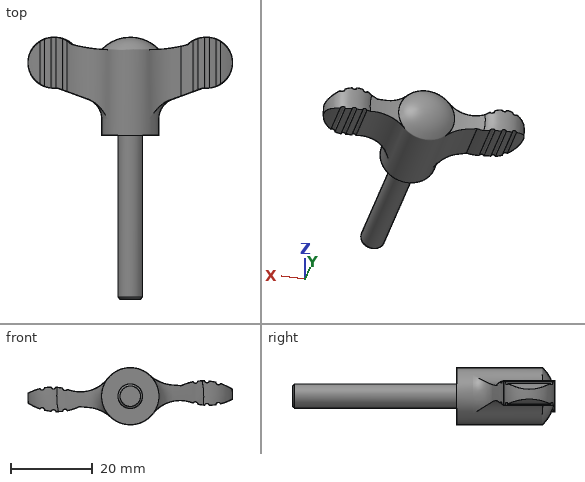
import cadquery as cq
import math

hub_radius = 7.0
hub_length = 21.0
dome_height = 3.0
rim_fillet = 0.3

pin_radius = 3.0
pin_length = 40.0
pin_chamfer = 0.5

wing_root_radius = 3.5
span_radius = 25.0
lobe_radius = 6.25
lobe_axis_distance = span_radius - lobe_radius
lobe_center_y = hub_length + dome_height - lobe_radius
lobe_underside_distance = 17.95
underside_angle = math.radians(20)
underside_fillet = 5.0
lobe_shoulder_distance = 14.4
top_edge_sag = 0.2

high_contact_angle = math.radians(47.5)
high_neck_radius = 9.2
high_neck_end_x = 9.94
high_crest = (17.9, 3.8)
high_start = (12.44, 2.6)
high_tip_z = 1.66
low_contact_angle = math.radians(-38.2)
low_neck_radius = 8.5
low_crest = (18.9, -2.25)
low_start_x = 14.76
low_tip_z = -0.7

groove_radius = 0.6
groove_depth = 0.45
groove_positions = (15.9, 18.73, 21.53)


def polar(radius, angle):
    """Plane coordinates of a point at a radius and an angle."""
    return (radius * math.cos(angle), radius * math.sin(angle))


def circle_through(a, b, c):
    """Center and radius of the circle through three points."""
    denominator = 2 * (a[0] * (b[1] - c[1]) + b[0] * (c[1] - a[1]) + c[0] * (a[1] - b[1]))
    sq_a, sq_b, sq_c = (p[0] ** 2 + p[1] ** 2 for p in (a, b, c))
    x = (sq_a * (b[1] - c[1]) + sq_b * (c[1] - a[1]) + sq_c * (a[1] - b[1])) / denominator
    y = (sq_a * (c[0] - b[0]) + sq_b * (a[0] - c[0]) + sq_c * (b[0] - a[0])) / denominator
    return (x, y), math.hypot(a[0] - x, a[1] - y)


def on_circle(center, radius, x, side):
    """Point of a circle at x, on its upper (+1) or lower (-1) half."""
    return (x, center[1] + side * math.sqrt(radius ** 2 - (x - center[0]) ** 2))


def dome_middle():
    """Point halfway along the dome arc, from the rim to the apex."""
    radius = (hub_radius ** 2 + dome_height ** 2) / (2 * dome_height)
    half_angle = math.asin(hub_radius / radius) / 2
    center_y = hub_length + dome_height - radius
    return (radius * math.sin(half_angle), center_y + radius * math.cos(half_angle))


def make_hub():
    """Cylinder closed by a shallow spherical dome, with a softened rim."""
    return (
        cq.Workplane("XY")
        .lineTo(hub_radius, 0)
        .lineTo(hub_radius, hub_length)
        .threePointArc(dome_middle(), (0, hub_length + dome_height))
        .close()
        .revolve(360, (0, 0, 0), (0, 1, 0))
        .edges(cq.NearestToPointSelector((0, hub_length, 0)))
        .fillet(rim_fillet)
    )


def make_pin():
    """Plain pin along -Y with a chamfered end."""
    return (
        cq.Workplane("XZ")
        .circle(pin_radius)
        .extrude(pin_length)
        .faces("<Y")
        .chamfer(pin_chamfer)
    )


def make_wing_envelope():
    """Solid of revolution whose outline is the wing seen along Z."""
    lobe_center = (lobe_axis_distance, lobe_center_y)
    lobe_low = on_circle(lobe_center, lobe_radius, lobe_underside_distance, -1)
    shoulder = on_circle(lobe_center, lobe_radius, lobe_shoulder_distance, 1)

    corner_y = lobe_low[1] - (lobe_low[0] - hub_radius) * math.tan(underside_angle)
    tangent_length = underside_fillet * math.tan((math.pi / 2 - underside_angle) / 2)
    fillet_low = (hub_radius, corner_y - tangent_length)
    fillet_high = (
        hub_radius + tangent_length * math.cos(underside_angle),
        corner_y + tangent_length * math.sin(underside_angle),
    )
    top_middle = (
        (hub_radius + shoulder[0]) / 2,
        (hub_length + shoulder[1]) / 2 - top_edge_sag,
    )
    return (
        cq.Workplane("XY")
        .moveTo(wing_root_radius, fillet_low[1])
        .lineTo(*fillet_low)
        .radiusArc(fillet_high, underside_fillet)
        .lineTo(*lobe_low)
        .threePointArc((span_radius, lobe_center_y), shoulder)
        .threePointArc(top_middle, (hub_radius, hub_length))
        .close()
        .revolve(360, (0, 0, 0), (0, 1, 0))
    )


def make_wing_profile():
    """Wing thickness in XZ, carried along Y, with the grip grooves cut."""
    high_contact = polar(hub_radius, high_contact_angle)
    low_contact = polar(hub_radius, low_contact_angle)
    high_neck_center = polar(hub_radius + high_neck_radius, high_contact_angle)
    low_neck_center = polar(hub_radius + low_neck_radius, low_contact_angle)
    high_neck_end = on_circle(high_neck_center, high_neck_radius, high_neck_end_x, -1)
    low_start = on_circle(low_neck_center, low_neck_radius, low_start_x, 1)
    high_neck_middle = on_circle(
        high_neck_center, high_neck_radius, (high_contact[0] + high_neck_end_x) / 2, -1
    )
    low_neck_middle = on_circle(
        low_neck_center, low_neck_radius, (low_contact[0] + low_start_x) / 2, 1
    )
    high_tip = (span_radius, high_tip_z)
    low_tip = (span_radius, low_tip_z)
    length = hub_length + dome_height
    plane = cq.Workplane("XZ", origin=(0, length, 0))
    profile = (
        plane.lineTo(*high_contact)
        .threePointArc(high_neck_middle, high_neck_end)
        .lineTo(*high_start)
        .threePointArc(high_crest, high_tip)
        .lineTo(*low_tip)
        .threePointArc(low_crest, low_start)
        .threePointArc(low_neck_middle, low_contact)
        .close()
        .extrude(length)
    )
    high_circle = circle_through(high_start, high_crest, high_tip)
    low_circle = circle_through(low_start, low_crest, low_tip)
    axis_offset = groove_radius - groove_depth
    for x in groove_positions:
        for (center, radius), side in ((high_circle, 1), (low_circle, -1)):
            surface = on_circle(center, radius, x, side)
            groove_z = surface[1] + side * axis_offset
            groove = plane.center(x, groove_z).circle(groove_radius).extrude(length)
            profile = profile.cut(groove)
    return profile


wing = make_wing_envelope().intersect(make_wing_profile())
opposite_wing = wing.rotate((0, 0, 0), (0, 1, 0), 180)
result = make_hub().union(wing).union(opposite_wing).union(make_pin())